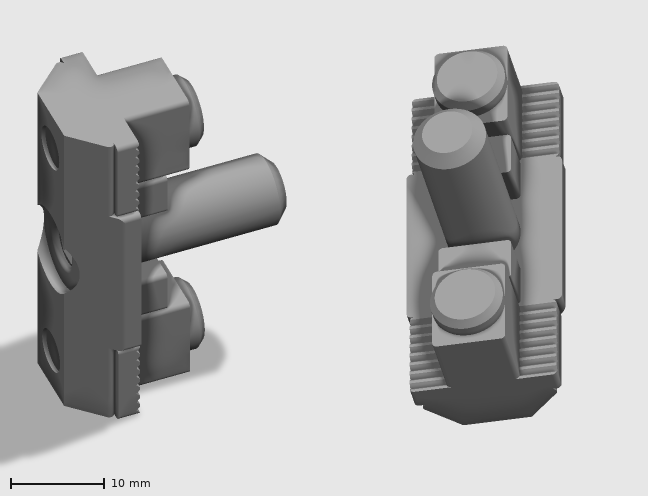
import cadquery as cq
import math

length = 39.0
width = 17.0
housing_depth = 7.0
front_width = 7.5
side_height = 2.03
edge_radius = 0.5

slide_length = 10.0
flange_width = 16.1
flange_thickness = 2.55
stem_width = 8.0
stem_height = 7.5
slide_offset = 0.1

groove_count = 8
groove_pitch = 1.2
groove_depth = 0.43

lug_length = 5.0
lug_height = 4.9

shaft_diameter = 5.0
head_diameter = 8.0
head_tip_diameter = 6.63
head_height = 2.0
head_chamfer_height = 0.78
pin_recess = 0.45

screw_diameter = 8.0
screw_tip_diameter = 5.5
screw_end = 26.25
counterbore_diameter = 10.0
counterbore_depth = 1.3
neck_diameter = 5.0
neck_length = 0.7
hex_sides = 6
hex_across_flats = 3.98
hex_depth = 4.0
hex_turn = 4.0

middle_length = length - 2 * slide_length
step_depth = housing_depth - flange_thickness
side_front = housing_depth - side_height
flank_run = (width - front_width) / 2 / side_front
step_half_width = front_width / 2 + step_depth * flank_run
slide_center = (length - slide_length) / 2
stem_end = housing_depth + stem_height
screw_start = counterbore_depth + neck_length
ends = (-1, 1)


def slab(y_start, y_end):
    """XZ workplane at y_start and the signed distance that extrudes it to y_end.

    The workplane normal points toward -Y, so an extrusion toward +Y is negative.
    """
    return cq.Workplane("XZ", origin=(0, y_start, 0)), y_start - y_end


def rounded_block(x_size, z_size, y_start, y_end, x=0, z=0):
    """Block along Y whose four long edges are rounded."""
    plane, distance = slab(y_start, y_end)
    return plane.center(x, z).rect(x_size, z_size).extrude(distance).edges("|Y").fillet(edge_radius)


def cylinder(diameter, y_start, y_end, x=0, z=0):
    plane, distance = slab(y_start, y_end)
    return plane.center(x, z).circle(diameter / 2).extrude(distance)


def chamfered_cylinder(diameter, tip_diameter, chamfer_height, y_start, y_end):
    """Cylinder on the Y axis whose +Y end tapers to a smaller flat tip."""
    outline = [
        (0, y_start),
        (diameter / 2, y_start),
        (diameter / 2, y_end - chamfer_height),
        (tip_diameter / 2, y_end),
        (0, y_end),
    ]
    return cq.Workplane("XY").polyline(outline).close().revolve(360, (0, 0, 0), (0, 1, 0))


def make_housing():
    ends_bar = (
        cq.Workplane("XY")
        .polyline([
            (-front_width / 2, 0),
            (front_width / 2, 0),
            (step_half_width, step_depth),
            (-step_half_width, step_depth),
        ])
        .close()
        .extrude(length / 2, both=True)
        .edges("|Z and >Y")
        .fillet(edge_radius)
    )

    middle = (
        cq.Workplane("XY")
        .polyline([
            (-front_width / 2, 0),
            (front_width / 2, 0),
            (width / 2, side_front),
            (width / 2, housing_depth),
            (-width / 2, housing_depth),
            (-width / 2, side_front),
        ])
        .close()
        .extrude(middle_length / 2, both=True)
        .edges("|Z and (<X or >X) and (not >Y)")
        .fillet(edge_radius)
        .intersect(rounded_block(width, middle_length, 0, housing_depth))
    )
    body = ends_bar.union(middle)

    for end in ends:
        lug_z = end * (middle_length - lug_length) / 2
        body = body.union(
            rounded_block(stem_width, lug_length, step_depth, housing_depth + lug_height, z=lug_z)
        )
        body = body.cut(
            cylinder(shaft_diameter, 0, step_depth, x=-end * slide_offset, z=end * slide_center)
        )

    body = body.cut(cylinder(counterbore_diameter, 0, counterbore_depth))
    body = body.cut(cylinder(neck_diameter, 0, screw_start))
    body = body.cut(neck_rounding())
    return body.cut(cylinder(screw_diameter, screw_start, housing_depth))


def neck_rounding():
    """Flared ring of material removed where the neck opens into the counterbore."""
    neck_radius = neck_diameter / 2
    mouth_radius = neck_radius + edge_radius
    fillet_end = counterbore_depth + edge_radius
    arc_inset = edge_radius * (1 - math.sqrt(0.5))
    return (
        cq.Workplane("XY")
        .moveTo(0, counterbore_depth)
        .lineTo(mouth_radius, counterbore_depth)
        .threePointArc((neck_radius + arc_inset, counterbore_depth + arc_inset), (neck_radius, fillet_end))
        .lineTo(0, fillet_end)
        .close()
        .revolve(360, (0, 0, 0), (0, 1, 0))
    )


def make_slide():
    """Slide centred on the origin in X and Z, with 90 degree V grooves in its flange."""
    slide = rounded_block(flange_width, slide_length, step_depth, housing_depth)
    for index in range(groove_count):
        groove_z = (index - (groove_count - 1) / 2) * groove_pitch
        groove = (
            cq.Workplane("YZ")
            .polyline([
                (housing_depth, groove_z - groove_depth),
                (housing_depth - groove_depth, groove_z),
                (housing_depth, groove_z + groove_depth),
            ])
            .close()
            .extrude(flange_width / 2, both=True)
        )
        slide = slide.cut(groove)
    slide = slide.union(rounded_block(stem_width, slide_length, step_depth, stem_end))
    return slide.cut(cylinder(shaft_diameter, step_depth, stem_end))


def make_pin():
    """Rivet pin on the Y axis, its head resting on the end of the stem."""
    head = chamfered_cylinder(
        head_diameter, head_tip_diameter, head_chamfer_height, stem_end, stem_end + head_height
    )
    return head.union(cylinder(shaft_diameter, pin_recess, stem_end))


def make_screw():
    chamfer_height = (screw_diameter - screw_tip_diameter) / 2
    body = chamfered_cylinder(screw_diameter, screw_tip_diameter, chamfer_height, screw_start, screw_end)
    plane, distance = slab(screw_start, screw_start + hex_depth)
    hex_across_corners = hex_across_flats / math.cos(math.pi / hex_sides)
    socket = (
        plane.polygon(hex_sides, hex_across_corners)
        .extrude(distance)
        .rotate((0, 0, 0), (0, 1, 0), hex_turn)
    )
    return body.cut(socket)


housing = make_housing()
screw = make_screw()
slides = []
pins = []
for end in ends:
    place = (-end * slide_offset, 0, end * slide_center)
    slides.append(make_slide().translate(place))
    pins.append(make_pin().translate(place))

result = cq.Compound.makeCompound(
    [housing.val(), screw.val(), *[slide.val() for slide in slides], *[pin.val() for pin in pins]]
)